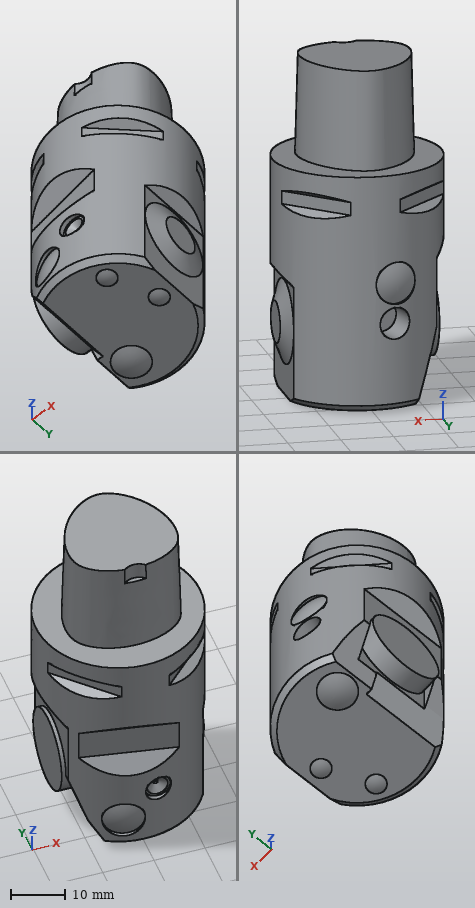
import cadquery as cq
import math


BODY_DIA = 32.0
BODY_R = BODY_DIA / 2
FACE_Z = -45.0
END_CHAMFER = 1.2

SHANK_HEIGHT = 19.0
SHANK_R_BASE = 11.0
SHANK_R_TOP = 10.5
SHANK_LOBE = 0.7
LOBE_HALF_ANGLE = 24
NOTCH_R = 3.05
NOTCH_FLOOR_Y = -8.9
NOTCH_DEPTH = 3.4

SLOT_PLANE = 14.15
SLOT_TOP_Z = -4.8
SLOT_BOTTOM_Z = -7.25
SLOT_FLANK = 30
SLOT_COUNT = 4

FLAT_PLANE = 13.0
FLAT_TOP_Z = -18.15
FLAT_FLANK = 45
KEY_FLAT_BOTTOM_Z = -24.25
KEY_FLAT_TURN = 10.3

DIAL_FLAT_X = 13.8
DIAL_FLAT_TOP_Z = -22.55

SLIDE_DIA = 16.0
SLIDE_Z = -31.1
SLIDE_FACE_X = -13.8
POCKET_FLOOR_X = -9.7

SLOPE_TOP_Z = SLIDE_Z
SLOPE_ANGLE = 18.7
STEEP_TOP_Z = -39.4
STEEP_ANGLE = 30.5
STEEP_EDGE_Y = 3.55

DIAL_BASE_DIA = SLIDE_DIA
DIAL_FACE_DIA = 8.0
DIAL_HEIGHT = 1.6

SCREW_DIA = 8.05
SCREW_LENGTH = 3.9
SCREW_RISE = 0.85
FRONT_SCREW_ANGLE = 270 - 15.5
FRONT_SCREW_Z = -38.4
FRONT_SCREW_TOP = 16.1
BACK_SCREW_ANGLE = 90 + 14.5
BACK_SCREW_Z = -20.75
BACK_SCREW_TOP = 16.35

SIDE_HOLE_DIA = 6.0
SIDE_HOLE_ANGLE = 90 + 13.5
SIDE_HOLE_Z = -28.4
SIDE_HOLE_DEPTH = 5.85

NOZZLE_X = 2.45
NOZZLE_Z = -32.1
NOZZLE_DIA = 5.25
NOZZLE_RIM_DIA = 5.0
NOZZLE_MOUTH_DIA = 4.0
NOZZLE_BORE_DIA = 1.0
NOZZLE_FACE_Y = -15.05
NOZZLE_CONE_DEPTH = 1.15
NOZZLE_LENGTH = 3.9

PLUG_LENGTH = 2.6
LARGE_PLUG_X = -3.8
LARGE_PLUG_Y = 8.05
LARGE_PLUG_DIA = 7.7
LARGE_PLUG_RISE = 0.85
SMALL_PLUG_DIA = 4.0
SMALL_PLUG_RISE = 0.42
SMALL_PLUG_PLACES = [(10.2, 0), (5.95, -9.8)]

CLEAR = 38.9
BELOW_Z = -77.8


def shank_wire(mean_r, z):
    """Three-lobed curve of constant width, split where its tight lobes begin and end."""
    def point(degrees):
        turn = math.radians(degrees)
        lobe = math.radians(3 * (degrees - 90))
        support = mean_r + SHANK_LOBE * math.cos(lobe)
        shift = -3 * SHANK_LOBE * math.sin(lobe)
        x = support * math.cos(turn) - shift * math.sin(turn)
        y = support * math.sin(turn) + shift * math.cos(turn)
        return cq.Vector(x, y, z)

    steps = 8
    edges = []
    for lobe_centre in (90, 210, 330):
        start = lobe_centre - LOBE_HALF_ANGLE
        end = lobe_centre + LOBE_HALF_ANGLE
        for first, last in ((start, end), (end, start + 120)):
            stretch = (last - first) / steps
            edges.append(cq.Edge.makeSpline([point(first + i * stretch) for i in range(steps + 1)]))
    return cq.Wire.assembleEdges(edges)


def make_shank():
    base = shank_wire(SHANK_R_BASE, 0)
    top = shank_wire(SHANK_R_TOP, SHANK_HEIGHT)
    shank = cq.Workplane(cq.Solid.makeLoft([base, top], True))
    notch = (
        cq.Workplane("XY", origin=(0, NOTCH_FLOOR_Y - NOTCH_R, SHANK_HEIGHT - NOTCH_DEPTH))
        .circle(NOTCH_R)
        .extrude(NOTCH_DEPTH)
    )
    return shank.cut(notch)


def flat_cutter(direction, plane, top_z, bottom_z, flank):
    """Trapezoid cutter that leaves a flat facing `direction` (degrees about Z)."""
    spread = (CLEAR - plane) * math.tan(math.radians(flank))
    return (
        cq.Workplane("XZ")
        .polyline([
            (plane, top_z),
            (CLEAR, top_z + spread),
            (CLEAR, bottom_z - spread),
            (plane, bottom_z),
        ])
        .close()
        .extrude(CLEAR, both=True)
        .rotate((0, 0, 0), (0, 0, 1), direction)
    )


def slope_cutter(top_z, angle, start_x, y_min, y_max):
    """Removes everything outside a plane that leans inwards below (start_x, top_z)."""
    run = (top_z - BELOW_Z) * math.tan(math.radians(angle))
    return (
        cq.Workplane("XZ", origin=(0, y_max, 0))
        .polyline([
            (start_x, top_z),
            (start_x + run, BELOW_Z),
            (-CLEAR, BELOW_Z),
            (-CLEAR, top_z),
        ])
        .close()
        .extrude(y_max - y_min)
    )


def domed_plug(diameter, length, rise):
    """Plug along +Z whose dome apex is at the origin."""
    radius = diameter / 2
    half_x = radius / 2
    sphere_r = (radius**2 + rise**2) / (2 * rise)
    half_z = math.sqrt(sphere_r**2 - half_x**2) - sphere_r
    return (
        cq.Workplane("XZ")
        .moveTo(0, -length)
        .lineTo(radius, -length)
        .lineTo(radius, -rise)
        .threePointArc((half_x, half_z), (0, 0))
        .close()
        .revolve(360, (0, 0, 0), (0, 1, 0))
    )


def place_radially(shape, angle, reach, z):
    """Turns a +Z shape to point outwards at `angle`, its origin `reach` from the axis."""
    return (
        shape.rotate((0, 0, 0), (0, 1, 0), 90)
        .translate((reach, 0, z))
        .rotate((0, 0, 0), (0, 0, 1), angle)
    )


def radial_hole(diameter, angle, floor, z):
    drill = cq.Workplane("XY").circle(diameter / 2).extrude(CLEAR)
    return place_radially(drill, angle, floor, z)


def make_side_screw(angle, z, top):
    return place_radially(domed_plug(SCREW_DIA, SCREW_LENGTH, SCREW_RISE), angle, top, z)


def make_end_plug(x, y, diameter, rise):
    plug = domed_plug(diameter, PLUG_LENGTH, rise)
    return plug.rotate((0, 0, 0), (1, 0, 0), 180).translate((x, y, FACE_Z - rise))


def make_nozzle():
    cone_end = -NOZZLE_CONE_DEPTH
    bore_r = NOZZLE_BORE_DIA / 2
    rim_drop = (NOZZLE_DIA - NOZZLE_RIM_DIA) / 2
    profile = [
        (0, -NOZZLE_LENGTH),
        (NOZZLE_DIA / 2, -NOZZLE_LENGTH),
        (NOZZLE_DIA / 2, -rim_drop),
        (NOZZLE_RIM_DIA / 2, 0),
        (NOZZLE_MOUTH_DIA / 2, 0),
        (bore_r, cone_end),
        (bore_r, cone_end - bore_r),
        (0, cone_end - 2 * bore_r),
    ]
    nozzle = cq.Workplane("XZ").polyline(profile).close().revolve(360, (0, 0, 0), (0, 1, 0))
    return nozzle.rotate((0, 0, 0), (1, 0, 0), 90).translate((NOZZLE_X, NOZZLE_FACE_Y, NOZZLE_Z))


def make_slide():
    return (
        cq.Workplane("YZ", origin=(SLIDE_FACE_X, 0, SLIDE_Z))
        .circle(SLIDE_DIA / 2)
        .extrude(POCKET_FLOOR_X - SLIDE_FACE_X)
    )


def make_dial():
    return (
        cq.Workplane("YZ", origin=(DIAL_FLAT_X, 0, SLIDE_Z))
        .circle(DIAL_BASE_DIA / 2)
        .workplane(offset=DIAL_HEIGHT)
        .circle(DIAL_FACE_DIA / 2)
        .loft()
    )


def slide_pocket():
    """Round-topped pocket for the slide, open at the lower end."""
    reach = POCKET_FLOOR_X + CLEAR
    pocket = cq.Workplane("YZ", origin=(-CLEAR, 0, SLIDE_Z)).circle(SLIDE_DIA / 2).extrude(reach)
    mouth = (
        cq.Workplane("YZ", origin=(-CLEAR, 0, SLIDE_Z - CLEAR / 2))
        .rect(SLIDE_DIA, CLEAR)
        .extrude(reach)
    )
    return pocket.union(mouth)


def make_housing():
    body = cq.Workplane("XY").circle(BODY_R).extrude(FACE_Z).faces("<Z").chamfer(END_CHAMFER)
    body = body.union(make_shank())

    for i in range(SLOT_COUNT):
        direction = 45 + i * 360 / SLOT_COUNT
        body = body.cut(flat_cutter(direction, SLOT_PLANE, SLOT_TOP_Z, SLOT_BOTTOM_Z, SLOT_FLANK))

    key_direction = 270 - KEY_FLAT_TURN
    body = body.cut(flat_cutter(key_direction, FLAT_PLANE, FLAT_TOP_Z, KEY_FLAT_BOTTOM_Z, FLAT_FLANK))
    body = body.cut(flat_cutter(180, FLAT_PLANE, FLAT_TOP_Z, BELOW_Z, FLAT_FLANK))
    body = body.cut(flat_cutter(0, DIAL_FLAT_X, DIAL_FLAT_TOP_Z, BELOW_Z, FLAT_FLANK))

    steep_x = -FLAT_PLANE + (SLOPE_TOP_Z - STEEP_TOP_Z) * math.tan(math.radians(SLOPE_ANGLE))
    body = body.cut(slope_cutter(SLOPE_TOP_Z, SLOPE_ANGLE, -FLAT_PLANE, -CLEAR, CLEAR))
    body = body.cut(slope_cutter(STEEP_TOP_Z, STEEP_ANGLE, steep_x, -CLEAR, STEEP_EDGE_Y))
    body = body.cut(slide_pocket())

    front_floor = FRONT_SCREW_TOP - SCREW_LENGTH
    back_floor = BACK_SCREW_TOP - SCREW_LENGTH
    side_floor = BODY_R - SIDE_HOLE_DEPTH
    body = body.cut(radial_hole(SCREW_DIA, FRONT_SCREW_ANGLE, front_floor, FRONT_SCREW_Z))
    body = body.cut(radial_hole(SCREW_DIA, BACK_SCREW_ANGLE, back_floor, BACK_SCREW_Z))
    body = body.cut(radial_hole(SIDE_HOLE_DIA, SIDE_HOLE_ANGLE, side_floor, SIDE_HOLE_Z))

    nozzle_hole = (
        cq.Workplane("XZ", origin=(NOZZLE_X, NOZZLE_FACE_Y + NOZZLE_LENGTH, NOZZLE_Z))
        .circle(NOZZLE_DIA / 2)
        .extrude(CLEAR)
    )
    body = body.cut(nozzle_hole)
    for plug in end_plugs:
        body = body.cut(plug)
    return body


end_plugs = [make_end_plug(LARGE_PLUG_X, LARGE_PLUG_Y, LARGE_PLUG_DIA, LARGE_PLUG_RISE)]
for place_x, place_y in SMALL_PLUG_PLACES:
    end_plugs.append(make_end_plug(place_x, place_y, SMALL_PLUG_DIA, SMALL_PLUG_RISE))

housing = make_housing()
slide = make_slide()
dial = make_dial()
front_screw = make_side_screw(FRONT_SCREW_ANGLE, FRONT_SCREW_Z, FRONT_SCREW_TOP)
back_screw = make_side_screw(BACK_SCREW_ANGLE, BACK_SCREW_Z, BACK_SCREW_TOP)
nozzle = make_nozzle()

result = cq.Compound.makeCompound([
    housing.val(),
    slide.val(),
    dial.val(),
    front_screw.val(),
    back_screw.val(),
    nozzle.val(),
    *[plug.val() for plug in end_plugs],
])